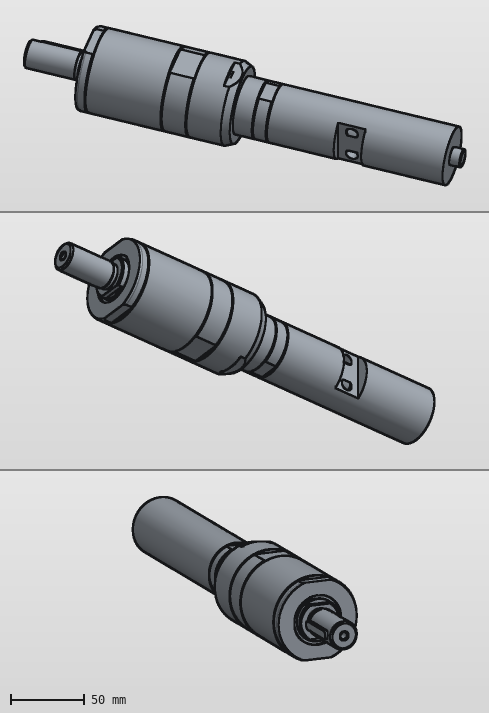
import cadquery as cq
import math

shaft_end = 36.7
collar_start = 40.0
head_start = 44.0
front_flat_end = 51.0
middle_flat_start, middle_flat_end = 106.0, 123.8
rear_flat_start = 145.0
rear_taper_start = 149.0
head_end = 154.5
tube_flat_start, tube_flat_end = 168.7, 178.7
tube_end = 305.7
total_length = 313.5

shaft_diameter = 20.0
neck_diameter = 18.8
collar_diameter = 30.0
recess_diameter = 35.0
head_diameter = 60.0
head_rear_diameter = 54.5
shoulder_diameter = 55.5
tube_diameter = 41.5
pin_diameter = 13.0

shaft_chamfer = 1.3
collar_chamfer = 1.0
head_chamfer_length, head_chamfer_depth = 2.0, 0.5
pin_chamfer = 0.5

head_flat_width = 55.2
tube_flat_width = 38.2
collar_flat_width = 23.8
shoulder_length = 2.0

groove_width = 1.0
groove_depth = 0.3

recess_depth = 1.5
centre_mouth_diameter = 6.5
centre_bore_diameter = 5.0
centre_bore_depth = 9.5
drill_point_angle = 118

key_start = 5.0
key_length = 32.0
key_width = 6.0
key_top = 12.0

pocket_start, pocket_length = 227.3, 19.8
pocket_floor = 11.0
port_diameter = 8.5
port_offset = 10.5
core_diameter = 26.3


def rod(start, end, diameter):
    """Round bar along X between two stations."""
    return cq.Workplane("YZ").workplane(offset=start).circle(diameter / 2).extrude(end - start)


def turned(outline):
    """Solid of revolution about X from a closed (x, radius) outline."""
    return cq.Workplane("XY").polyline(outline).close().revolve(360, (0, 0, 0), (1, 0, 0))


def cut_flats(body, start, end, width):
    """Leave only the given width across Z between two stations."""
    length = end - start
    slab_height = head_diameter
    for side in (1, -1):
        slab = cq.Workplane("XY").box(length, 2 * head_diameter, slab_height)
        slab = slab.translate(((start + end) / 2, 0, side * (width + slab_height) / 2))
        body = body.cut(slab)
    return body


def turned_body():
    """Half outline of shaft, collar, head, tube and pin, revolved about X."""
    shaft_r = shaft_diameter / 2
    neck_r = neck_diameter / 2
    collar_r = collar_diameter / 2
    recess_r = recess_diameter / 2
    head_r = head_diameter / 2
    tube_r = tube_diameter / 2
    pin_r = pin_diameter / 2
    recess_floor = head_start + recess_depth
    outline = [
        (0, 0),
        (0, shaft_r - shaft_chamfer),
        (shaft_chamfer, shaft_r),
        (shaft_end, shaft_r),
        (shaft_end, neck_r),
        (collar_start, neck_r),
        (collar_start, collar_r - collar_chamfer),
        (collar_start + collar_chamfer, collar_r),
        (recess_floor, collar_r),
        (recess_floor, recess_r),
        (head_start, recess_r),
        (head_start, head_r - head_chamfer_depth),
        (head_start + head_chamfer_length, head_r),
        (rear_taper_start, head_r),
        (head_end, head_rear_diameter / 2),
        (head_end, tube_r),
        (tube_end, tube_r),
        (tube_end, pin_r),
        (total_length - pin_chamfer, pin_r),
        (total_length, pin_r - pin_chamfer),
        (total_length, 0),
    ]
    return turned(outline)


def parting_groove(station, diameter):
    """Ring with a V section that cuts a shallow groove centred on a station."""
    surface_r = diameter / 2
    outline = [
        (station - groove_width / 2, surface_r),
        (station, surface_r - groove_depth),
        (station + groove_width / 2, surface_r),
    ]
    return turned(outline)


def shaft_key():
    """Round-ended key rising out of the shaft toward +Y."""
    return (
        cq.Workplane("XZ")
        .center(key_start + key_length / 2, 0)
        .slot2D(key_length, key_width)
        .extrude(-key_top)
    )


def centre_hole():
    """Countersunk bore with a drill point in the shaft tip."""
    mouth_r = centre_mouth_diameter / 2
    bore_r = centre_bore_diameter / 2
    point_length = bore_r / math.tan(math.radians(drill_point_angle / 2))
    outline = [
        (0, 0),
        (0, mouth_r),
        (mouth_r - bore_r, bore_r),
        (centre_bore_depth, bore_r),
        (centre_bore_depth + point_length, 0),
    ]
    return turned(outline)


def side_pocket():
    """Flat-floored slot across the -Y side of the tube."""
    pocket_depth = tube_diameter / 2
    return (
        cq.Workplane("XY")
        .box(pocket_length, pocket_depth, tube_diameter)
        .translate((pocket_start + pocket_length / 2, -pocket_floor - pocket_depth / 2, 0))
    )


def ports():
    """Two round ports in the pocket floor, cut around a round core on the axis."""
    middle = pocket_start + pocket_length / 2
    drills = (
        cq.Workplane("XZ")
        .pushPoints([(middle, port_offset), (middle, -port_offset)])
        .circle(port_diameter / 2)
        .extrude(pocket_floor)
    )
    return drills.cut(rod(pocket_start, pocket_start + pocket_length, core_diameter))


body = turned_body()
for station in (front_flat_end, middle_flat_start, middle_flat_end):
    body = body.cut(parting_groove(station, head_diameter))
for station in (tube_flat_start, tube_flat_end):
    body = body.cut(parting_groove(station, tube_diameter))

body = cut_flats(body, collar_start, head_start, collar_flat_width)
body = cut_flats(body, head_start, front_flat_end, head_flat_width)
body = cut_flats(body, middle_flat_start, middle_flat_end, head_flat_width)
body = cut_flats(body, rear_flat_start, head_end, head_flat_width)
body = cut_flats(body, tube_flat_start, tube_flat_end, tube_flat_width)

body = body.union(rod(rear_flat_start, rear_flat_start + shoulder_length, shoulder_diameter))

body = body.union(shaft_key())
body = body.cut(centre_hole())
body = body.cut(side_pocket())
result = body.cut(ports())